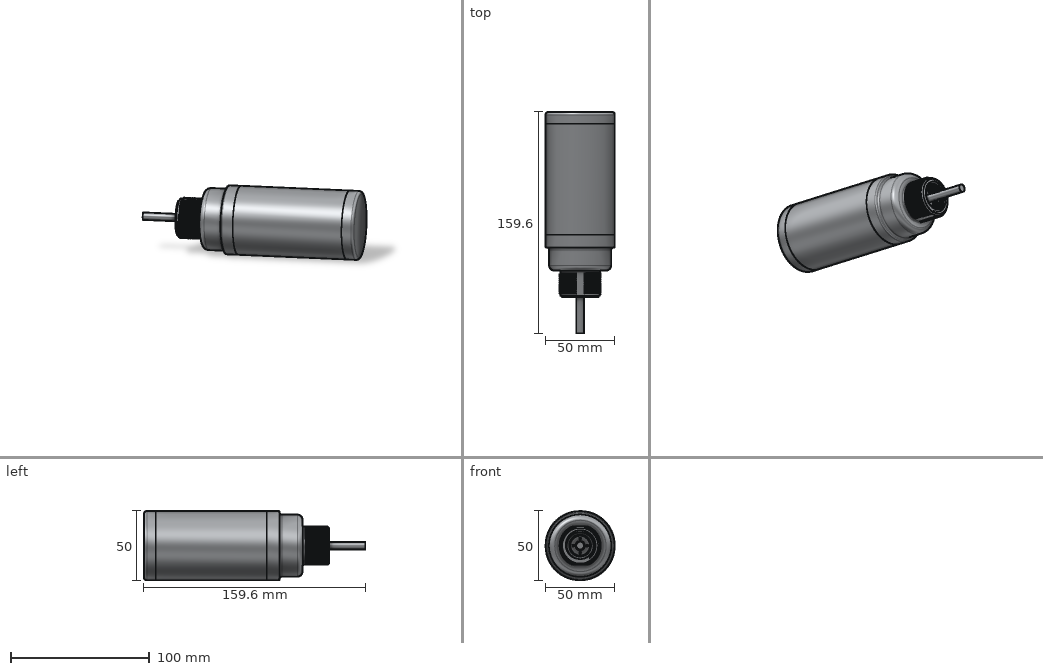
import cadquery as cq


body_radius = 25.0
tube_length = 80.0
cap_length = 8.7
cap_edge_radius = 2.0

collar_length = 9.2
collar_edge_radius = 1.0
neck_radius = 22.5
neck_length = 16.5
neck_edge_radius = 4.0
neck_root_radius = 1.3
stem_length = 19.1

neck_start_y = -collar_length
shoulder_y = neck_start_y - neck_length
stem_end_y = shoulder_y - stem_length

stem_crest_radius = 14.9
stem_root_radius = 14.15
stem_pitch = 1.5
stem_ridge_half_width = 0.65
stem_crest_half_width = 0.1
ridge_overlap = 0.05
plain_tip_length = 2.1
relief_length = 1.6
stem_tip_chamfer = 1.2
stem_fillet = 0.8
flat_half_height = 13.85

bore_radius = 9.7
bore_root_radius = 11.2
bore_pitch = 25.4 / 14
bore_thread_length = 11.0
bore_groove_half_width = 0.85
groove_overlap = 0.05

bore_depth = 12.0
bore_throat_radius = 7.9
cone_length = bore_radius - bore_throat_radius
floor_radius = 7.1
floor_recess_depth = 0.5
cone_start_y = stem_end_y + bore_depth
cone_end_y = cone_start_y + cone_length
floor_y = cone_end_y + floor_recess_depth

contact_count = 4
contact_circle_radius = 5.1
contact_radius = 0.65
contact_depth = 1.0

cable_radius = 2.8
cable_length_outside = 26.1
cable_end_y = stem_end_y - cable_length_outside
cable_ring_radius = 3.4
cable_ring_depth = 1.0


def turned(points):
    """Solid turned about the Y axis from (Y, radius) points, with its seam towards Z."""
    return cq.Workplane("YZ").polyline(points).close().revolve(360, (0, 0, 0), (1, 0, 0))


def disc(radius, start_y, end_y):
    return turned([(start_y, 0), (end_y, 0), (end_y, radius), (start_y, radius)])


def coil(points, pitch, start_y, end_y):
    """Thread form wound about the Y axis from (radius, offset along the axis) points."""
    helix = cq.Wire.makeHelix(pitch, end_y - start_y, points[0][0])
    turns = cq.Workplane("XZ").polyline(points).close().sweep(cq.Workplane(obj=helix), isFrenet=True)
    return turns.rotate((0, 0, 0), (1, 0, 0), -90).translate((0, start_y, 0))


def make_cap():
    cap = disc(body_radius, tube_length, tube_length + cap_length)
    return cap.faces(">Y").edges().fillet(cap_edge_radius)


def make_tube():
    """Light tube with its seam towards -X."""
    profile = cq.Workplane("XY").moveTo(0, 0).lineTo(-body_radius, 0)
    profile = profile.lineTo(-body_radius, tube_length).lineTo(0, tube_length).close()
    return profile.revolve(360, (0, 0, 0), (0, 1, 0))


def make_collar_and_neck():
    """Collar and neck in one turned outline, with rounded edges and a rounded neck root."""
    outline = (
        cq.Workplane("YZ")
        .moveTo(0, 0)
        .lineTo(shoulder_y, 0)
        .lineTo(shoulder_y, neck_radius - neck_edge_radius)
        .radiusArc((shoulder_y + neck_edge_radius, neck_radius), neck_edge_radius)
        .lineTo(neck_start_y - neck_root_radius, neck_radius)
        .radiusArc((neck_start_y, neck_radius + neck_root_radius), -neck_root_radius)
        .lineTo(neck_start_y, body_radius - collar_edge_radius)
        .radiusArc((neck_start_y + collar_edge_radius, body_radius), collar_edge_radius)
        .lineTo(0, body_radius)
        .close()
    )
    return outline.revolve(360, (0, 0, 0), (1, 0, 0))


def stem_thread():
    buried_radius = stem_root_radius - ridge_overlap
    ridge = [
        (buried_radius, stem_ridge_half_width),
        (stem_crest_radius, stem_crest_half_width),
        (stem_crest_radius, -stem_crest_half_width),
        (buried_radius, -stem_ridge_half_width),
    ]
    return coil(ridge, stem_pitch, stem_end_y + plain_tip_length, shoulder_y - relief_length)


def cut_bore(stem):
    bore = turned([
        (stem_end_y, 0),
        (stem_end_y, bore_radius),
        (cone_start_y, bore_radius),
        (cone_end_y, bore_throat_radius),
        (cone_end_y, floor_radius),
        (floor_y, floor_radius),
        (floor_y, 0),
    ])
    groove = [
        (bore_root_radius, 0),
        (bore_radius - groove_overlap, bore_groove_half_width),
        (bore_radius - groove_overlap, -bore_groove_half_width),
    ]
    thread = coil(groove, bore_pitch, stem_end_y - bore_pitch, stem_end_y + bore_thread_length)
    thread = thread.rotate((0, 0, 0), (0, 1, 0), -90)
    return stem.cut(bore).cut(thread)


def cut_contacts(stem):
    contacts = cq.Workplane("XZ", origin=(0, floor_y, 0))
    contacts = contacts.polarArray(contact_circle_radius, 0, 360, contact_count)
    return stem.cut(contacts.circle(contact_radius).extrude(-contact_depth))


def make_stem():
    """Hollow threaded stem with flats at +Z and -Z; the tip is chamfered all round, flats included."""
    stem = disc(stem_root_radius, stem_end_y, shoulder_y)
    stem = stem.faces("<Y").edges().chamfer(stem_tip_chamfer)
    stem = cut_contacts(cut_bore(stem))
    stem = stem.union(stem_thread())
    between_flats = cq.Workplane("XY").box(2 * body_radius, stem_length, 2 * flat_half_height)
    between_flats = between_flats.faces("<Y").edges("|X").chamfer(stem_tip_chamfer)
    return stem.intersect(between_flats.translate((0, stem_end_y + stem_length / 2, 0)))


def add_stem(base):
    """Add the stem and round the corner where it leaves the neck."""
    base = base.union(make_stem())
    reach = stem_crest_radius
    margin = stem_fillet / 2
    stem_foot = cq.selectors.BoxSelector(
        (-reach, shoulder_y - margin, -reach), (reach, shoulder_y + margin, reach), boundingbox=True
    )
    return base.edges(stem_foot).fillet(stem_fillet)


def add_cable(base):
    ring_end_y = floor_y + cable_ring_depth
    base = base.cut(disc(cable_ring_radius, floor_y, ring_end_y))
    return base.union(disc(cable_radius, cable_end_y, ring_end_y))


def make_base():
    base = add_stem(make_collar_and_neck())
    return add_cable(base)


cap = make_cap()
tube = make_tube()
base = make_base()

result = cq.Compound.makeCompound([cap.val(), tube.val(), base.val()])